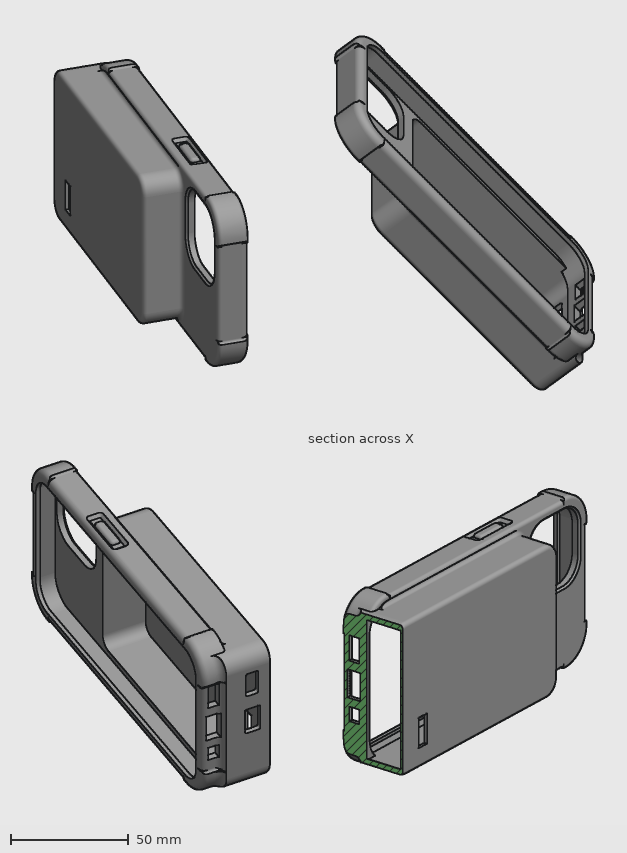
import cadquery as cq


SLACK = 0.01

LENGTH = 158.28
WIDTH = 79.76
CASE_DEPTH = 14.0
BUMPER_LEFT = 2.4
SIDE_STEP = 1.0
END_STEP = 1.2
BUMPER_RADIUS = 15.6
BUMPER_TAIL = 0.5
RIM_FILLET = 3.0
BACK_FILLET = 1.7

WALL = 3.15
FLOOR = 4.0
LIP_REACH = 1.5
LIP_DEPTH = 2.0

BATTERY_LENGTH = 113.4
BATTERY_WIDTH = 70.9
BATTERY_DEPTH = 18.05
BATTERY_RADIUS = 7.5
BATTERY_FILLET = 2.0
BATTERY_WALL = 2.5
BATTERY_FACE = 1.5
BASE_FILLET = 1.9
END_RISE = 3.75

CAMERA_CENTER = (134.6, 16.6)
CAMERA_LENGTH = 35.2
CAMERA_WIDTH = 35.8
CAMERA_RADIUS = 10.6
CAMERA_CHAMFER = 0.95

WINDOW_CENTER = (18.7, -19.0)
WINDOW_SIZE = (5.8, 14.0)

PHONE_PORTS = [
    (8.1, 16.7, 5.0, 11.6),
    (8.25, 0.0, 6.7, 12.9),
    (8.1, -14.0, 5.0, 6.6),
]
BATTERY_PORTS = [
    (-8.6, 19.6, 6.0, 12.1),
    (-8.9, 0.0, 7.4, 12.9),
]
PORT_RADIUS = 1.0

BUTTON_X = 99.0
BUTTON_Y = 8.15
RECESS_SIZE = (25.1, 7.9)
RECESS_DEPTH = 1.6
RECESS_SLOPE = 1.4
RECESS_RADIUS = 1.6
KEY_SIZE = (16.0, 5.0)
KEY_RADIUS = 1.6
KEY_FILLET = 1.5

BUMPER_LENGTH = LENGTH - BUMPER_LEFT
WALL_LEFT = BUMPER_LEFT + END_STEP
WALL_HALF_WIDTH = WIDTH / 2 - SIDE_STEP
WALL_RADIUS = BUMPER_RADIUS - SIDE_STEP
CASE_MID_X = BUMPER_LEFT + BUMPER_LENGTH / 2
BATTERY_MID_X = BATTERY_LENGTH / 2
END_FILLET = WALL_LEFT - SLACK
LEDGE_TOP = END_RISE + END_FILLET
BATTERY_WALL_TOP = END_RISE - BATTERY_WALL


def block(mid_x, size_x, size_z, y_low, y_high, radius, mid_z=0.0):
    """Block along Y with rounded corners in the XZ outline."""
    body = cq.Workplane("XY").box(size_x, y_high - y_low, size_z)
    if radius:
        body = body.edges("|Y").fillet(radius)
    return body.translate((mid_x, (y_low + y_high) / 2, mid_z))


def bumper_prism(y_low, y_high):
    return block(CASE_MID_X, BUMPER_LENGTH, WIDTH, y_low, y_high, BUMPER_RADIUS)


def wall_prism(inset, y_low, y_high):
    """Prism with the side wall outline moved inwards by inset."""
    length = BUMPER_LENGTH - 2 * (END_STEP + inset)
    width = 2 * (WALL_HALF_WIDTH - inset)
    return block(CASE_MID_X, length, width, y_low, y_high, WALL_RADIUS - inset)


def battery_prism(inset, y_low, y_high):
    """Prism with the battery outline moved inwards by inset."""
    return block(
        BATTERY_MID_X,
        BATTERY_LENGTH - 2 * inset,
        BATTERY_WIDTH - 2 * inset,
        y_low,
        y_high,
        BATTERY_RADIUS - inset,
    )


def rounded_case(prism):
    return prism.faces(">Y").edges().fillet(RIM_FILLET).faces("<Y").edges().fillet(BACK_FILLET)


def bumper_zone():
    """Four corner regions whose ends sweep down to the side walls in a hollow arc."""
    half_length = BUMPER_LENGTH / 2
    half_width = WIDTH / 2
    tip_x = half_length - BUMPER_RADIUS - BUMPER_TAIL
    tip_z = half_width - BUMPER_RADIUS - BUMPER_TAIL
    corner = (
        cq.Workplane("XZ", origin=(CASE_MID_X, 0, 0))
        .moveTo(tip_x - SIDE_STEP, tip_z - END_STEP)
        .lineTo(half_length - END_STEP, tip_z - END_STEP)
        .radiusArc((half_length, tip_z), END_STEP)
        .lineTo(half_length, half_width)
        .lineTo(tip_x, half_width)
        .radiusArc((tip_x - SIDE_STEP, half_width - SIDE_STEP), SIDE_STEP)
        .close()
        .extrude(-CASE_DEPTH)
    )
    right = corner.union(corner.mirror("XY"))
    return right.union(right.mirror("YZ", (CASE_MID_X, 0, 0)))


def concave_blend(post, y_low, y_high, radius):
    """Post standing on an oversized slab, with a concave fillet where they meet."""
    slab = block(CASE_MID_X, 2 * LENGTH, 2 * WIDTH, y_low, y_high, 0)
    body = slab.union(post).val()
    ring_face = [face for face in body.Faces() if face.innerWires()][0]
    return cq.Workplane(body.fillet(radius, ring_face.innerWires()[0].Edges()))


def case_body():
    """Side walls with thicker bumpers at the four corners."""
    walls = rounded_case(wall_prism(0, 0, CASE_DEPTH))
    bumpers = rounded_case(bumper_prism(0, CASE_DEPTH)).intersect(bumper_zone())
    return walls.union(bumpers)


def battery_body():
    return battery_prism(0, -BATTERY_DEPTH, END_RISE / 2).faces("<Y").edges().fillet(BATTERY_FILLET)


def end_ledge():
    """Raised left end of the housing, blended up into the case end."""
    left_end = battery_prism(0, 0, LEDGE_TOP).intersect(
        cq.Workplane("XY").box(2 * BATTERY_RADIUS, 2 * CASE_DEPTH, WIDTH)
    )
    wall_ledge = concave_blend(wall_prism(0, 0, CASE_DEPTH), 0, END_RISE, END_FILLET)
    bumper_ledge = concave_blend(bumper_prism(0, CASE_DEPTH), 0, END_RISE, END_FILLET)
    between_bumpers = cq.Workplane("XY").box(LENGTH, 2 * CASE_DEPTH, WIDTH - 2 * BUMPER_RADIUS)
    ledge = wall_ledge.union(bumper_ledge.cut(between_bumpers))
    return ledge.intersect(left_end)


def base_blend():
    """Concave fillet between the battery sides and the flat of the case back."""
    blend = concave_blend(battery_prism(0, -BATTERY_DEPTH / 2, BACK_FILLET), 0, BACK_FILLET, BASE_FILLET)
    flat_back = wall_prism(BACK_FILLET, -BASE_FILLET, BACK_FILLET)
    return blend.intersect(flat_back)


def phone_cavity():
    """Pocket for the phone, with a narrower mouth between the retaining lips."""
    pocket = wall_prism(WALL, FLOOR, CASE_DEPTH - LIP_DEPTH)
    mouth = wall_prism(WALL + LIP_REACH, FLOOR, CASE_DEPTH)
    return pocket.union(mouth)


def battery_cavity():
    """Battery space, open to the phone cavity wherever the two overlap."""
    lower = battery_prism(BATTERY_WALL, BATTERY_FACE - BATTERY_DEPTH, BATTERY_WALL_TOP)
    passage = battery_prism(BATTERY_WALL, 0, FLOOR).intersect(wall_prism(WALL, 0, FLOOR))
    return lower.union(passage)


def camera_opening():
    """Rounded opening through the case back, chamfered on the outside."""
    mid_x, mid_z = CAMERA_CENTER
    flare = 2 * CAMERA_CHAMFER
    hole = block(mid_x, CAMERA_LENGTH, CAMERA_WIDTH, 0, FLOOR, CAMERA_RADIUS, mid_z)
    mouth = block(
        mid_x,
        CAMERA_LENGTH + flare,
        CAMERA_WIDTH + flare,
        0,
        CAMERA_CHAMFER + SLACK,
        CAMERA_RADIUS + CAMERA_CHAMFER,
        mid_z,
    )
    return hole.union(mouth.faces(">Y").edges().chamfer(CAMERA_CHAMFER))


def display_window():
    mid_x, mid_z = WINDOW_CENTER
    return block(mid_x, *WINDOW_SIZE, -BATTERY_DEPTH, 0, 0, mid_z)


def end_ports():
    """Openings through the left end wall into the phone and battery cavities."""
    tools = cq.Workplane("XY")
    for mid_y, mid_z, size_y, size_z in PHONE_PORTS:
        reach = 2 * (WALL_LEFT + WALL + LIP_REACH)
        tools = tools.union(cq.Workplane("XY").box(reach, size_y, size_z).translate((0, mid_y, mid_z)))
    for mid_y, mid_z, size_y, size_z in BATTERY_PORTS:
        port = cq.Workplane("XY").box(4 * BATTERY_WALL, size_y, size_z).edges("|X").fillet(PORT_RADIUS)
        tools = tools.union(port.translate((0, mid_y, mid_z)))
    return tools


def button_recess():
    """Sloped recess in the +Z wall with a raised key left standing in it."""
    length, height = RECESS_SIZE
    recess = (
        cq.Workplane("XY")
        .box(length, height, 2 * RECESS_DEPTH)
        .edges("|Z")
        .fillet(RECESS_RADIUS)
        .faces("<Z")
        .edges()
        .chamfer(RECESS_DEPTH, RECESS_SLOPE)
    )
    key = (
        cq.Workplane("XY")
        .box(*KEY_SIZE, 2 * RECESS_DEPTH)
        .edges("|Z")
        .fillet(KEY_RADIUS)
        .faces(">Z")
        .edges()
        .fillet(KEY_FILLET)
        .translate((0, 0, -RECESS_DEPTH))
    )
    return recess.cut(key).translate((BUTTON_X, BUTTON_Y, WALL_HALF_WIDTH))


def build():
    body = case_body().union(battery_body()).union(end_ledge()).union(base_blend())
    openings = [
        phone_cavity(),
        battery_cavity(),
        camera_opening(),
        display_window(),
        end_ports(),
        button_recess(),
    ]
    for opening in openings:
        body = body.cut(opening)
    return body


result = build()